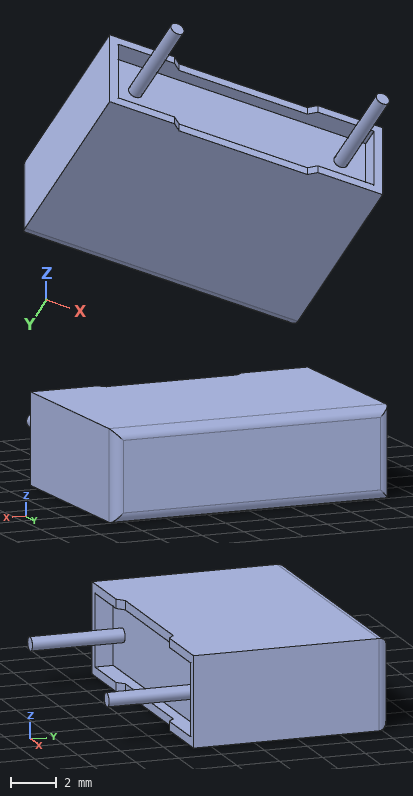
import cadquery as cq

WIDTH = 13.3
HEIGHT = 4.22
OVERALL_LENGTH = 12.6
PIN_PROJECTION = 3.47
HOUSING_LENGTH = OVERALL_LENGTH - PIN_PROJECTION
WALL = 0.43
BACK_EDGE_RADIUS = 0.48

NOTCH_MOUTH_WIDTH = 6.97
NOTCH_FLOOR_WIDTH = 6.25
NOTCH_DEPTH = 0.3

FILL_RECESS = 0.85

PIN_DIAMETER = 0.65
PIN_PITCH = 10.0
PIN_EMBEDMENT = 1.0

FILL_FRONT = FILL_RECESS
FILL_BACK = HOUSING_LENGTH - WALL
PIN_POSITIONS = (-PIN_PITCH / 2, PIN_PITCH / 2)


def block(width, height, y_front, y_back):
    """Box centred on X and Z, spanning the given Y range."""
    return (
        cq.Workplane("XY")
        .box(width, y_back - y_front, height, centered=(True, False, True))
        .translate((0, y_front, 0))
    )


def interior(y_front):
    """Space between the housing walls, from y_front to the back wall."""
    return block(WIDTH - 2 * WALL, HEIGHT - 2 * WALL, y_front, FILL_BACK)


def make_notch():
    """Tapered relief running through the full housing height."""
    return (
        cq.Workplane("XY")
        .polyline([
            (-NOTCH_MOUTH_WIDTH / 2, 0),
            (NOTCH_MOUTH_WIDTH / 2, 0),
            (NOTCH_FLOOR_WIDTH / 2, NOTCH_DEPTH),
            (-NOTCH_FLOOR_WIDTH / 2, NOTCH_DEPTH),
        ])
        .close()
        .extrude(HEIGHT / 2, both=True)
    )


def make_housing():
    shell = block(WIDTH, HEIGHT, 0, HOUSING_LENGTH)
    shell = shell.faces(">Y").edges().fillet(BACK_EDGE_RADIUS)
    return shell.cut(interior(0)).cut(make_notch())


def make_pin(x):
    """Pin along Y, from its free front end to its end inside the fill."""
    return (
        cq.Workplane("XZ", origin=(x, -PIN_PROJECTION, 0))
        .circle(PIN_DIAMETER / 2)
        .extrude(-(PIN_PROJECTION + FILL_FRONT + PIN_EMBEDMENT))
    )


def make_fill(pins):
    """Fill behind the recess, with a matching blind hole for each pin."""
    fill = interior(FILL_FRONT)
    for pin in pins:
        fill = fill.cut(pin)
    return fill


pins = [make_pin(x) for x in PIN_POSITIONS]
housing = make_housing()
fill = make_fill(pins)

result = cq.Compound.makeCompound([
    housing.val(),
    fill.val(),
    *[pin.val() for pin in pins],
])